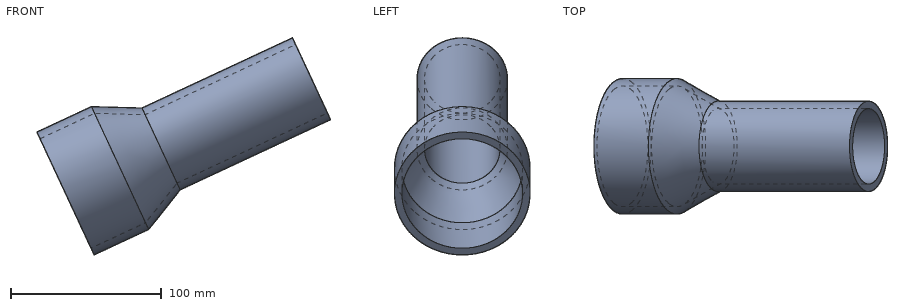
import cadquery as cq

tilt_angle = 25.0
socket_diameter = 90.0
socket_bore = 80.0
pipe_diameter = 60.0
pipe_bore = 50.0
socket_length = 40.0
cone_length = 30.0
pipe_length = 110.0


def stepped_solid(wide_diameter, narrow_diameter):
    """Revolve a wide cylinder, a cone and a narrow cylinder about the X axis."""
    wide_radius = wide_diameter / 2
    narrow_radius = narrow_diameter / 2
    cone_end = socket_length + cone_length
    pipe_end = cone_end + pipe_length
    return (
        cq.Workplane("XZ")
        .moveTo(0, 0)
        .lineTo(0, wide_radius)
        .lineTo(socket_length, wide_radius)
        .lineTo(cone_end, narrow_radius)
        .lineTo(pipe_end, narrow_radius)
        .lineTo(pipe_end, 0)
        .close()
        .revolve(360, (0, 0, 0), (1, 0, 0))
    )


outer_body = stepped_solid(socket_diameter, pipe_diameter)
through_bore = stepped_solid(socket_bore, pipe_bore)
reducer = outer_body.cut(through_bore)

result = reducer.rotate((0, 0, 0), (0, 1, 0), -tilt_angle)